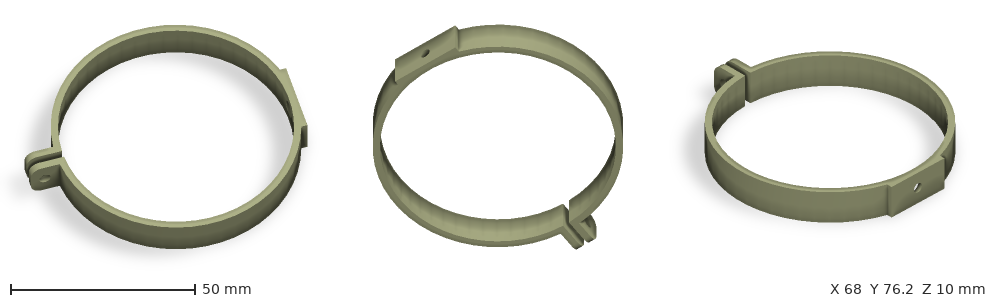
import cadquery as cq

total_length = 76.2
height = 10.0
outer_radius = 34.0
wall = 2.0
inner_radius = outer_radius - wall

pad_width = 20.0
pad_back_y = 34.2

gap = 2.0
ear_thickness = 2.05
ears_width = gap + 2 * ear_thickness
ear_end_y = pad_back_y - total_length
ear_corner_radius = 3.0
ear_hole_diameter = 3.2
ear_hole_inset = 4.0

screw_diameter = 3.0
countersink_diameter = 4.95
countersink_depth = 1.0


def block(width, y_start, y_end):
    """Full-height block, centred on X = 0, between two Y positions."""
    length = y_end - y_start
    return cq.Workplane("XY").box(width, length, height).translate((0, y_start + length / 2, 0))


def cylinder_z(radius):
    return cq.Workplane("XY").circle(radius).extrude(height / 2, both=True)


def make_ears():
    ears = block(ears_width, ear_end_y, -inner_radius)
    ears = ears.faces("<Y").edges("|X").fillet(ear_corner_radius)
    bolt_hole = (
        cq.Workplane("YZ")
        .center(ear_end_y + ear_hole_inset, 0)
        .circle(ear_hole_diameter / 2)
        .extrude(ears_width, both=True)
    )
    return ears.cut(bolt_hole)


def make_screw_hole():
    """Half profile of the countersunk hole, revolved about the Y axis."""
    screw_radius = screw_diameter / 2
    head_radius = countersink_diameter / 2
    head_start_y = inner_radius - wall
    return (
        cq.Workplane("XY")
        .moveTo(0, head_start_y)
        .lineTo(head_radius, head_start_y)
        .lineTo(head_radius, inner_radius)
        .lineTo(screw_radius, inner_radius + countersink_depth)
        .lineTo(screw_radius, pad_back_y + wall)
        .lineTo(0, pad_back_y + wall)
        .close()
        .revolve(360, (0, 0, 0), (0, 1, 0))
    )


pad = block(pad_width, 0, pad_back_y)
band = cylinder_z(outer_radius).union(pad).union(make_ears()).cut(cylinder_z(inner_radius))
slit = block(gap, ear_end_y, 0)
result = band.cut(slit).cut(make_screw_hole())